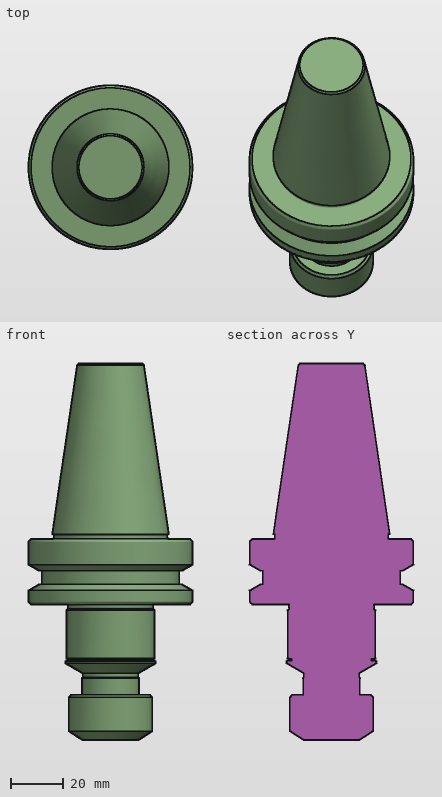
import cadquery as cq
import math

total_length = 144.4
cone_slope = math.tan(math.radians(30))
edge_break = 0.5

taper_length = 65.4
gauge_radius = 22.4
taper_rate = 7 / 24
taper_tip_radius = gauge_radius - taper_length * taper_rate / 2
tip_chamfer = 0.7
neck_radius = 21.8
neck_undercut_height = 0.3
neck_foot_fillet = 0.6

flange_radius = 31.5
flange_top = -1.9
flange_bottom = -27.0
flange_chamfer = 1.0
flange_edge_fillet = 0.6
groove_radius = 26.4
groove_lip_radius = 27.3
groove_floor_top = -14.2
groove_floor_bottom = -19.2
groove_side_height = (flange_radius - groove_lip_radius) * cone_slope

bead_radius = 16.5
bead_root_radius = 16.2
bead_bottom = -28.6

body_radius = 16.9
body_top = -29.2
body_bottom = -47.5

slit_radius = 15.3
slit_top = body_bottom - edge_break
slit_bottom = -48.4

collar_radius = 17.3
collar_top = slit_bottom - edge_break
collar_cone_top = -49.5
nut_relief_radius = 10.7
collar_bottom = collar_cone_top - (collar_radius - nut_relief_radius) * cone_slope

nut_neck_radius = 11.0
nut_neck_top = -54.9
nut_neck_chamfer = nut_neck_radius - nut_relief_radius

nut_radius = 16.0
nut_top = -61.5
nut_top_chamfer = 1.0
nut_bottom = taper_length - total_length
nut_cone_height = 3.5
nut_face_radius = 10.7

profile = (
    cq.Workplane("XZ")
    .moveTo(0, taper_length)
    .lineTo(taper_tip_radius - tip_chamfer, taper_length)
    .lineTo(taper_tip_radius, taper_length - tip_chamfer)
    .lineTo(gauge_radius, 0)
    .lineTo(neck_radius, -neck_undercut_height)
    .lineTo(neck_radius, flange_top + neck_foot_fillet)
    .radiusArc((neck_radius + neck_foot_fillet, flange_top), -neck_foot_fillet)
    .lineTo(flange_radius - flange_chamfer, flange_top)
    .lineTo(flange_radius, flange_top - flange_chamfer)
    .lineTo(flange_radius, groove_floor_top + groove_side_height)
    .lineTo(groove_lip_radius, groove_floor_top)
    .lineTo(groove_radius, groove_floor_top)
    .lineTo(groove_radius, groove_floor_bottom)
    .lineTo(groove_lip_radius, groove_floor_bottom)
    .lineTo(flange_radius, groove_floor_bottom - groove_side_height)
    .lineTo(flange_radius, flange_bottom + flange_chamfer)
    .lineTo(flange_radius - flange_chamfer, flange_bottom)
    .lineTo(bead_root_radius, flange_bottom)
    .threePointArc((bead_radius, (flange_bottom + bead_bottom) / 2), (bead_root_radius, bead_bottom))
    .lineTo(body_radius - edge_break, body_top + edge_break)
    .lineTo(body_radius, body_top)
    .lineTo(body_radius, body_bottom)
    .lineTo(body_radius - edge_break, slit_top)
    .lineTo(slit_radius, slit_top)
    .lineTo(slit_radius, slit_bottom)
    .lineTo(collar_radius - edge_break, slit_bottom)
    .lineTo(collar_radius, collar_top)
    .lineTo(collar_radius, collar_cone_top)
    .lineTo(nut_relief_radius, collar_bottom)
    .lineTo(nut_relief_radius, nut_neck_top)
    .lineTo(nut_neck_radius, nut_neck_top - nut_neck_chamfer)
    .lineTo(nut_neck_radius, nut_top)
    .lineTo(nut_radius - nut_top_chamfer, nut_top)
    .lineTo(nut_radius, nut_top - nut_top_chamfer)
    .lineTo(nut_radius, nut_bottom + nut_cone_height)
    .lineTo(nut_face_radius, nut_bottom)
    .lineTo(0, nut_bottom)
    .close()
)
holder = profile.revolve(360, (0, 0, 0), (0, 1, 0))


def rim_edge(height):
    """Select the rim circle of the flange at the given height."""
    margin = 0.1
    reach = flange_radius + margin
    return cq.selectors.BoxSelector(
        (-reach, -reach, height - margin), (reach, reach, height + margin), boundingbox=True
    )


upper_rim = rim_edge(flange_top - flange_chamfer)
lower_rim = rim_edge(flange_bottom + flange_chamfer)
result = holder.edges(upper_rim + lower_rim).fillet(flange_edge_fillet)